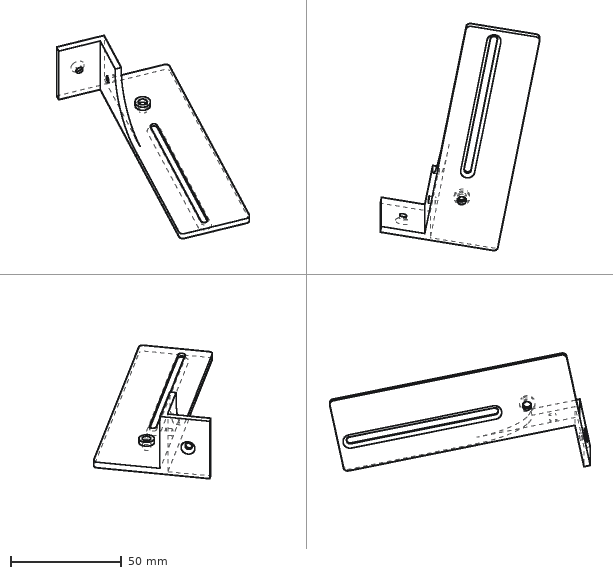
import cadquery as cq
import math

length = 110.0
overall_width = 54.0
height = 30.0
thickness = 3.0

leg_length = 23.0
plate_width = overall_width - leg_length + thickness
corner_radius = 2.0
web_radius = 25.0

feature_line_y = 13.5
slot_start_x = 35.8
slot_end_x = 106.0
slot_width = 3.2

screw_diameter = 3.2
countersink_diameter = 6.4
countersink_angle = 90.0
screw_offset = 13.0
screw_z = height / 2

spacer_x = 22.3
spacer_diameter = 7.0
spacer_bore = 4.0
spacer_height = 2.0


def make_slot():
    """Cutter for the through slot, flared at the underside to seat countersunk heads."""
    slot_length = slot_end_x - slot_start_x
    flare_angle = countersink_angle / 2
    flare_margin = (countersink_diameter - slot_width) / 2
    flare_depth = flare_margin / math.tan(math.radians(flare_angle))
    base = cq.Workplane("XY").center((slot_start_x + slot_end_x) / 2, feature_line_y)
    slot = base.slot2D(slot_length, slot_width).extrude(thickness)
    flare = base.slot2D(slot_length + 2 * flare_margin, countersink_diameter).extrude(
        flare_depth, taper=flare_angle
    )
    return slot.union(flare)


def make_plate():
    """Flat base with three rounded corners; the fourth corner carries the angle."""
    plate = cq.Workplane("XY").box(length, plate_width, thickness, centered=False)
    plate = plate.edges("|Z and (>X or >Y)").fillet(corner_radius)
    bore = (
        cq.Workplane("XY")
        .center(spacer_x, feature_line_y)
        .circle(spacer_bore / 2)
        .extrude(thickness)
    )
    return plate.cut(make_slot()).cut(bore)


def make_web():
    """Upright along the front edge of the plate, swept down to it by a concave arc."""
    arc_center = (leg_length + web_radius, thickness + web_radius)
    profile = (
        cq.Workplane("XZ")
        .lineTo(arc_center[0], 0)
        .lineTo(arc_center[0], thickness)
        .radiusArc((leg_length, arc_center[1]), web_radius)
        .lineTo(leg_length, height)
        .lineTo(0, height)
        .close()
    )
    web = profile.extrude(-thickness)
    hole = (
        cq.Workplane("XZ")
        .center(screw_offset, screw_z)
        .circle(screw_diameter / 2)
        .extrude(-thickness)
    )
    return web.cut(hole)


def make_end_leg():
    """Upright across the end, with a screw hole countersunk from its outer face."""
    leg = cq.Workplane("XY").box(thickness, leg_length, height, centered=False)
    leg = leg.translate((0, thickness - leg_length, 0))
    hole_center = (0, thickness - screw_offset, screw_z)
    return (
        leg.faces("<X")
        .workplane(origin=hole_center)
        .cskHole(screw_diameter, countersink_diameter, countersink_angle)
    )


def make_bracket():
    return make_plate().union(make_web()).union(make_end_leg())


def make_spacer():
    return (
        cq.Workplane("XY", origin=(spacer_x, feature_line_y, thickness))
        .circle(spacer_diameter / 2)
        .circle(spacer_bore / 2)
        .extrude(spacer_height)
    )


bracket = make_bracket()
spacer = make_spacer()

result = cq.Compound.makeCompound([bracket.val(), spacer.val()])